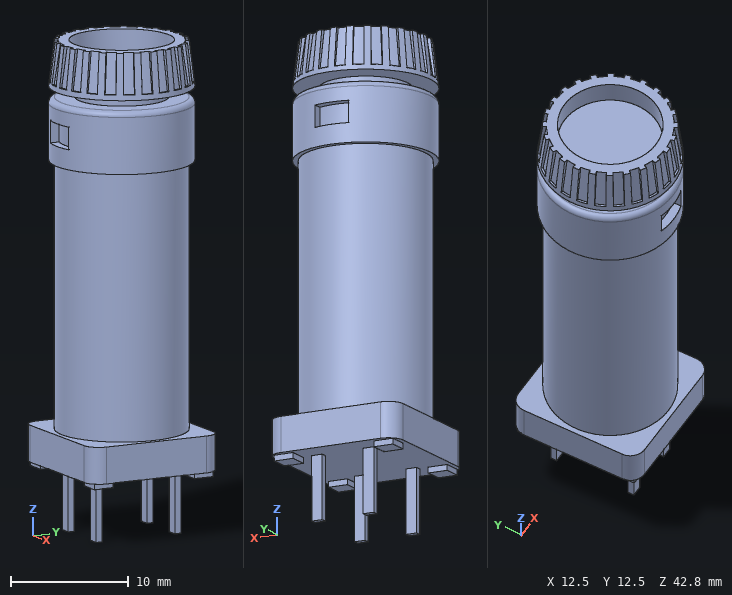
import cadquery as cq

PIN_LENGTH = 5.78
BASE_HEIGHT = 3.2
BARREL_HEIGHT = 23.35
COLLAR_HEIGHT = 5.48
NECK_HEIGHT = 0.95
KNOB_HEIGHT = 4.02

BASE_Z = PIN_LENGTH
BARREL_Z = BASE_Z + BASE_HEIGHT
COLLAR_Z = BARREL_Z + BARREL_HEIGHT
NECK_Z = COLLAR_Z + COLLAR_HEIGHT
KNOB_Z = NECK_Z + NECK_HEIGHT
TOP_Z = KNOB_Z + KNOB_HEIGHT

OUTER_WIDTH = 12.5
BARREL_DIAMETER = 11.5

BASE_CORNER_RADIUS = 1.4
FOOT_SIDE = 1.85
FOOT_HEIGHT = 0.5

PIN_WIDTH = 1.03
PIN_THICKNESS = 0.6
PIN_SPACING_X = 5.0
PIN_SPACING_Y = 7.6

COLLAR_FILLET = 0.5
WINDOW_WIDTH = 3.25
WINDOW_HEIGHT = 1.95
WINDOW_FLOOR_RADIUS = 5.45

NECK_DIAMETER = 8.0
RECESS_DIAMETER = 9.0
RECESS_DEPTH = 2.0
GROOVE_COUNT = 24
GROOVE_ANGLE = 9
GROOVE_BOTTOM_LIP = 0.45
GROOVE_TOP_RADIUS = 5.45
GROOVE_BOTTOM_RADIUS = 6.0
GROOVE_CUTTER_MARGIN = 0.43


def make_pin(x, y):
    """Flat rectangular pin that hangs from the underside of the base."""
    return cq.Workplane().center(x, y).rect(PIN_WIDTH, PIN_THICKNESS).extrude(PIN_LENGTH)


def make_base():
    """Square plate with rounded corners and a square foot under each corner."""
    plate = (
        cq.Workplane()
        .workplane(offset=BASE_Z)
        .rect(OUTER_WIDTH, OUTER_WIDTH)
        .extrude(BASE_HEIGHT)
        .edges("|Z")
        .fillet(BASE_CORNER_RADIUS)
    )
    foot_spacing = BARREL_DIAMETER - FOOT_SIDE
    feet = (
        cq.Workplane()
        .workplane(offset=BASE_Z)
        .rarray(foot_spacing, foot_spacing, 2, 2)
        .rect(FOOT_SIDE, FOOT_SIDE)
        .extrude(-FOOT_HEIGHT)
    )
    return plate.union(feet)


def make_barrel():
    """Plain cylinder between the base and the collar."""
    return cq.Workplane().workplane(offset=BARREL_Z).circle(BARREL_DIAMETER / 2).extrude(BARREL_HEIGHT)


def make_collar():
    """Wider cylinder with a rounded top edge and a window pocket in front and back."""
    body = (
        cq.Workplane()
        .workplane(offset=COLLAR_Z)
        .circle(OUTER_WIDTH / 2)
        .extrude(COLLAR_HEIGHT)
        .faces(">Z")
        .edges()
        .fillet(COLLAR_FILLET)
    )
    window_z = COLLAR_Z + COLLAR_HEIGHT / 2
    bar = cq.Workplane().box(WINDOW_WIDTH, OUTER_WIDTH, WINDOW_HEIGHT).translate((0, 0, window_z))
    core = cq.Workplane().workplane(offset=COLLAR_Z).circle(WINDOW_FLOOR_RADIUS).extrude(COLLAR_HEIGHT)
    return body.cut(bar.cut(core))


def make_groove():
    """Cutter for one grip groove: a ring sector, starting at the +X axis, with a conical floor."""
    clear_radius = OUTER_WIDTH / 2 + GROOVE_CUTTER_MARGIN
    bottom_z = KNOB_Z + GROOVE_BOTTOM_LIP
    return (
        cq.Workplane("XZ")
        .moveTo(GROOVE_BOTTOM_RADIUS, bottom_z)
        .lineTo(GROOVE_TOP_RADIUS, TOP_Z)
        .lineTo(clear_radius, TOP_Z)
        .lineTo(clear_radius, bottom_z)
        .close()
        .revolve(GROOVE_ANGLE, (0, 0, 0), (0, 1, 0))
    )


def make_knob():
    """Tapered cap on a short neck, with a round recess in the top and grip grooves around it."""
    knob = (
        cq.Workplane("XZ")
        .moveTo(0, NECK_Z)
        .lineTo(NECK_DIAMETER / 2, NECK_Z)
        .lineTo(NECK_DIAMETER / 2, KNOB_Z)
        .lineTo(OUTER_WIDTH / 2, KNOB_Z)
        .lineTo(BARREL_DIAMETER / 2, TOP_Z)
        .lineTo(0, TOP_Z)
        .close()
        .revolve(360, (0, 0, 0), (0, 1, 0))
    )
    recess = cq.Workplane().workplane(offset=TOP_Z).circle(RECESS_DIAMETER / 2).extrude(-RECESS_DEPTH)
    knob = knob.cut(recess)
    pitch = 360 / GROOVE_COUNT
    rib_angle = pitch - GROOVE_ANGLE
    for index in range(GROOVE_COUNT):
        start_angle = rib_angle / 2 + index * pitch
        knob = knob.cut(make_groove().rotate((0, 0, 0), (0, 0, 1), start_angle))
    return knob


pins = []
for side_x in (-1, 1):
    for side_y in (-1, 1):
        pins.append(make_pin(side_x * PIN_SPACING_X / 2, side_y * PIN_SPACING_Y / 2))
base = make_base()
barrel = make_barrel()
collar = make_collar()
knob = make_knob()

result = cq.Compound.makeCompound(
    [base.val(), barrel.val(), collar.val(), knob.val(), *[pin.val() for pin in pins]]
)